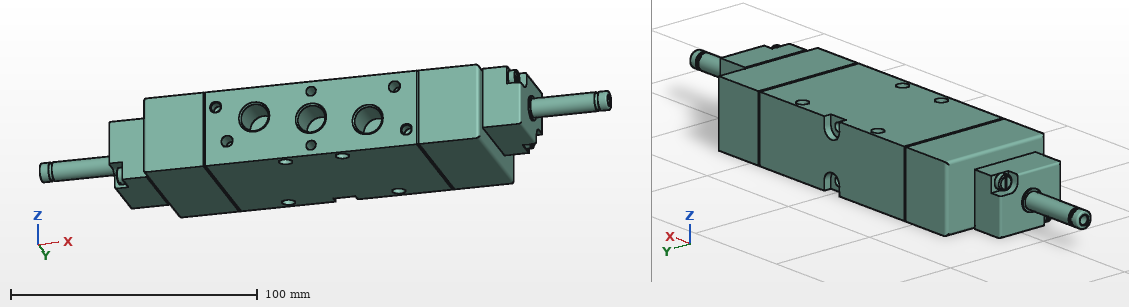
import cadquery as cq
import math


TOTAL_LENGTH = 239.0
BODY_WIDTH = 53.0
BODY_HEIGHT = 32.0
HALF_LENGTH = TOTAL_LENGTH / 2
FRONT_Y = -BODY_WIDTH / 2
BACK_Y = BODY_WIDTH / 2

CAP_FACE_X = 70.8
CAP_FILLET = 1.5
JOINT_X = 45.0
JOINT_WIDTH = 0.7
JOINT_DEPTH = 0.2

HOUSING_FACE_X = 86.8
HOUSING_FRONT_Y = -21.3
HOUSING_BACK_Y = 11.5
HOUSING_TOP_Z = 9.5
HOUSING_BOTTOM_Z = -BODY_HEIGHT / 2
HOUSING_FILLET = 1.0

SCREW_HEAD_DIAMETER = 7.0
SCREW_POCKET_DIAMETER = 8.0
SCREW_POCKET_DEPTH = 5.7
SCREW_HEAD_HEIGHT = 3.0
SCREW_TOP_DIAMETER = 5.5
SCREW_BEVEL_HEIGHT = 0.5
SCREW_SLOT_WIDTH = 1.0
SCREW_SLOT_DEPTH = 1.0
SCREW_SIDE_INSET = 5.3
TOP_SCREW_INSET = SCREW_HEAD_DIAMETER / 2
BOTTOM_SCREW_INSET = 3.5

TUBE_Y = -5.0
TUBE_Z = -3.0
TUBE_DIAMETER = 8.0
TUBE_FILLET = 0.7
COLLAR_DIAMETER = 10.0
COLLAR_LENGTH = 0.7
TUBE_GROOVE_DIAMETER = 7.0
TUBE_GROOVE_WIDTH = 1.5
TUBE_GROOVE_INSET = 3.8

PORT_DIAMETER = 11.5
PORT_RIM_DIAMETER = 13.0
PORT_RIM_DEPTH = 0.7
PORT_DEPTH = 14.3
PORT_PITCH = 24.0
PORT_DROP = 3.0
PILOT_HOLE_DIAMETER = 4.8
PILOT_HOLE_DEPTH = 7.2
PILOT_HOLE_PLACES = [(-35.5, -6.2), (35.1, 10.0)]
CONED_HOLE_DIAMETER = 4.8
CONED_HOLE_CORE_DIAMETER = 4.0
CONED_HOLE_DEPTH = 4.8
CONED_HOLE_X = 40.2
CONED_HOLE_Z = 9.0
DRILL_POINT_ANGLE = 118.0

CROSS_HOLE_DIAMETER = 4.0
CROSS_HOLE_Z = 11.7
NUT_SLOT_WIDTH = 9.3
NUT_SLOT_DEPTH = 3.5
MOUNT_HOLE_DIAMETER = 5.5
FRONT_MOUNT_X = 12.0
FRONT_MOUNT_Y = -22.0
BACK_MOUNT_X = 23.2
BACK_MOUNT_Y = 22.0


def block(x_range, y_range, z_range):
    """Box between two limits on each axis."""
    sizes = [high - low for low, high in (x_range, y_range, z_range)]
    corner = (x_range[0], y_range[0], z_range[0])
    return cq.Workplane("XY").box(*sizes, centered=False).translate(corner)


def rod(start, direction, diameter, length):
    """Cylinder that runs from a start point along a direction."""
    return cq.Workplane(
        cq.Solid.makeCylinder(diameter / 2, length, cq.Vector(*start), cq.Vector(*direction))
    )


def cone(start, direction, start_diameter, end_diameter, length):
    """Cone that runs from a start point along a direction."""
    return cq.Workplane(
        cq.Solid.makeCone(
            start_diameter / 2, end_diameter / 2, length, cq.Vector(*start), cq.Vector(*direction)
        )
    )


def coned_hole(start, direction):
    """Countersunk blind hole with a drill point, as a cutting shape."""
    sink = (CONED_HOLE_DIAMETER - CONED_HOLE_CORE_DIAMETER) / 2
    point = CONED_HOLE_CORE_DIAMETER / 2 / math.tan(math.radians(DRILL_POINT_ANGLE / 2))
    bottom = tuple(s + d * CONED_HOLE_DEPTH for s, d in zip(start, direction))
    return (
        rod(start, direction, CONED_HOLE_CORE_DIAMETER, CONED_HOLE_DEPTH)
        .union(cone(start, direction, CONED_HOLE_DIAMETER, CONED_HOLE_CORE_DIAMETER, sink))
        .union(cone(bottom, direction, CONED_HOLE_CORE_DIAMETER, 0, point))
    )


def make_body():
    """Body with both end caps and the shallow joint lines between them."""
    body = cq.Workplane("XY").box(2 * CAP_FACE_X, BODY_WIDTH, BODY_HEIGHT)
    body = body.faces("<X or >X").edges().fillet(CAP_FILLET)
    core_width = BODY_WIDTH - 2 * JOINT_DEPTH
    core_height = BODY_HEIGHT - 2 * JOINT_DEPTH
    joint = (
        cq.Workplane("XY")
        .box(JOINT_WIDTH, BODY_WIDTH, BODY_HEIGHT)
        .cut(cq.Workplane("XY").box(JOINT_WIDTH, core_width, core_height))
    )
    for joint_x in (-JOINT_X, JOINT_X):
        body = body.cut(joint.translate((joint_x, 0, 0)))
    return body


def front_face_cuts():
    """Ports and blind holes that enter from the front face."""
    inward = (0, 1, 0)
    cuts = cq.Workplane("XY")
    for step in (-1, 0, 1):
        mouth = (step * PORT_PITCH, FRONT_Y, -step * PORT_DROP)
        cuts = cuts.add(rod(mouth, inward, PORT_DIAMETER, PORT_DEPTH))
        cuts = cuts.add(cone(mouth, inward, PORT_RIM_DIAMETER, PORT_DIAMETER, PORT_RIM_DEPTH))
    for x, z in PILOT_HOLE_PLACES:
        cuts = cuts.add(rod((x, FRONT_Y, z), inward, PILOT_HOLE_DIAMETER, PILOT_HOLE_DEPTH))
    for side in (-1, 1):
        mouth = (side * CONED_HOLE_X, FRONT_Y, -side * CONED_HOLE_Z)
        cuts = cuts.add(coned_hole(mouth, inward))
    return cuts


def through_cuts():
    """Cross holes with open nut slots at the back, and the vertical mounting holes."""
    cuts = cq.Workplane("XY")
    slot_y = BACK_Y - NUT_SLOT_DEPTH
    for side in (-1, 1):
        hole_z = side * CROSS_HOLE_Z
        open_z = side * BODY_HEIGHT / 2
        cuts = cuts.add(rod((0, FRONT_Y, hole_z), (0, 1, 0), CROSS_HOLE_DIAMETER, BODY_WIDTH))
        cuts = cuts.add(rod((0, slot_y, hole_z), (0, 1, 0), NUT_SLOT_WIDTH, NUT_SLOT_DEPTH))
        cuts = cuts.add(
            block(
                (-NUT_SLOT_WIDTH / 2, NUT_SLOT_WIDTH / 2),
                (slot_y, BACK_Y),
                (min(hole_z, open_z), max(hole_z, open_z)),
            )
        )
        for x, y in ((FRONT_MOUNT_X, FRONT_MOUNT_Y), (BACK_MOUNT_X, BACK_MOUNT_Y)):
            start = (side * x, y, -BODY_HEIGHT / 2)
            cuts = cuts.add(rod(start, (0, 0, 1), MOUNT_HOLE_DIAMETER, BODY_HEIGHT))
    return cuts


def screw_pocket(screw_y, screw_z, corner_y, corner_z):
    """Corner pocket that is round about the screw and square towards the housing corner."""
    radius = SCREW_POCKET_DIAMETER / 2
    y_side = math.copysign(radius, corner_y - screw_y)
    z_side = math.copysign(radius, corner_z - screw_z)
    return (
        cq.Workplane("YZ", origin=(-HOUSING_FACE_X, 0, 0))
        .moveTo(corner_y, corner_z)
        .lineTo(corner_y, screw_z - z_side)
        .lineTo(screw_y, screw_z - z_side)
        .radiusArc((screw_y - y_side, screw_z), math.copysign(radius, y_side * z_side))
        .lineTo(screw_y - y_side, corner_z)
        .close()
        .extrude(SCREW_POCKET_DEPTH)
    )


def slotted_screw(screw_y, screw_z):
    """Slotted and bevelled screw head standing on the pocket floor."""
    floor_x = -HOUSING_FACE_X + SCREW_POCKET_DEPTH
    head_x = floor_x - SCREW_HEAD_HEIGHT
    radius = SCREW_HEAD_DIAMETER / 2
    bevel_x = head_x + SCREW_BEVEL_HEIGHT
    outward = (-1, 0, 0)
    barrel = rod((floor_x, screw_y, screw_z), outward, SCREW_HEAD_DIAMETER, floor_x - bevel_x)
    bevel = cone(
        (bevel_x, screw_y, screw_z), outward, SCREW_HEAD_DIAMETER, SCREW_TOP_DIAMETER, SCREW_BEVEL_HEIGHT
    )
    slot = block(
        (head_x, head_x + SCREW_SLOT_DEPTH),
        (screw_y - SCREW_SLOT_WIDTH / 2, screw_y + SCREW_SLOT_WIDTH / 2),
        (screw_z - radius, screw_z + radius),
    )
    return barrel.union(bevel).cut(slot)


def make_housing():
    """Solenoid housing of the -X end with its two corner screws."""
    housing = block(
        (-HOUSING_FACE_X, -CAP_FACE_X),
        (HOUSING_FRONT_Y, HOUSING_BACK_Y),
        (HOUSING_BOTTOM_Z, HOUSING_TOP_Z),
    )
    housing = housing.faces("<X").edges().fillet(HOUSING_FILLET)
    top_screw = (HOUSING_BACK_Y - SCREW_SIDE_INSET, HOUSING_TOP_Z - TOP_SCREW_INSET)
    bottom_screw = (HOUSING_FRONT_Y + SCREW_SIDE_INSET, HOUSING_BOTTOM_Z + BOTTOM_SCREW_INSET)
    housing = housing.cut(screw_pocket(*top_screw, HOUSING_BACK_Y, HOUSING_TOP_Z))
    housing = housing.cut(screw_pocket(*bottom_screw, HOUSING_FRONT_Y, HOUSING_BOTTOM_Z))
    return housing.union(slotted_screw(*top_screw)).union(slotted_screw(*bottom_screw))


def make_tube():
    """Armature tube of the -X end with collar, ring groove and tip bore."""
    root = (-HOUSING_FACE_X, TUBE_Y, TUBE_Z)
    outward = (-1, 0, 0)
    tube = rod(root, outward, TUBE_DIAMETER, HALF_LENGTH - HOUSING_FACE_X)
    tube = tube.faces("<X").edges().fillet(TUBE_FILLET)
    groove_start = (-HALF_LENGTH + TUBE_GROOVE_INSET, TUBE_Y, TUBE_Z)
    groove = rod(groove_start, (1, 0, 0), TUBE_DIAMETER, TUBE_GROOVE_WIDTH).cut(
        rod(groove_start, (1, 0, 0), TUBE_GROOVE_DIAMETER, TUBE_GROOVE_WIDTH)
    )
    tip = (-HALF_LENGTH, TUBE_Y, TUBE_Z)
    collar = rod(root, outward, COLLAR_DIAMETER, COLLAR_LENGTH)
    return tube.cut(groove).cut(coned_hole(tip, (1, 0, 0))).union(collar)


solenoid = make_housing().union(make_tube())
opposite_solenoid = solenoid.rotate((0, 0, 0), (0, 1, 0), 180)

body = make_body()
for cut in front_face_cuts().vals() + through_cuts().vals():
    body = body.cut(cq.Workplane(cut))

result = body.union(solenoid).union(opposite_solenoid)